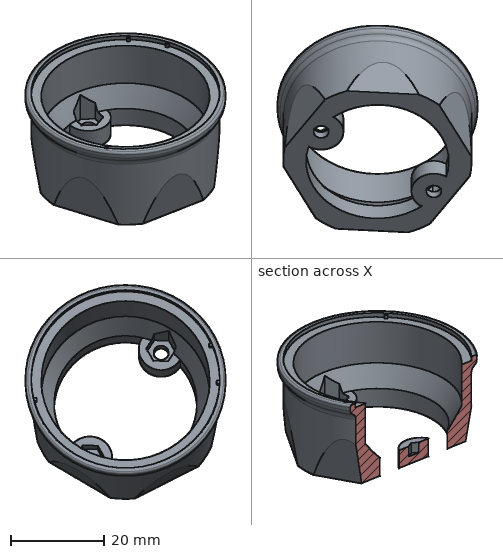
import cadquery as cq
import math

height = 20.32
body_radius = 40.4 / 2
rim_radius = 43.0 / 2

rim_edge_fillet = 0.5
rim_band_depth = 1.33
flare_inflexion_depth = 2.5
flare_end_depth = 4.0

recess_radius = 40.4 / 2
recess_depth = 1.0
bore_radius = 36.1 / 2
opening_radius = 15.3
opening_height = 4.5
seat_slope = 60.0

boss_offset = 14.5
boss_radius = 4.8
screw_diameter = 3.2
nut_across_flats = 5.5
nut_floor_height = 2.0

pin_radius = 0.4
pin_height = 0.8
pin_circle_radius = 19.9
pin_angles = (120.0, 145.0, -45.0)

flat_count = 6
flat_inset = 1.55
flat_tilt = 8.0
short_flat_tilt = 10.0
short_flat_index = 4

recess_floor = height - recess_depth
seat_height = (bore_radius - opening_radius) * math.tan(math.radians(seat_slope))
seat_top = opening_height + seat_height


def make_shell_blank():
    """Solid of revolution with a filleted rim that flares out of the body in an S-curve."""
    flare_fraction = (flare_inflexion_depth - rim_band_depth) / (flare_end_depth - rim_band_depth)
    inflexion_radius = rim_radius - (rim_radius - body_radius) * flare_fraction
    fillet_start = (rim_radius - rim_edge_fillet, height)
    fillet_end = (rim_radius, height - rim_edge_fillet)
    profile = (
        cq.Workplane("XZ")
        .lineTo(body_radius, 0)
        .lineTo(body_radius, height - flare_end_depth)
        .tangentArcPoint((inflexion_radius, height - flare_inflexion_depth), relative=False)
        .tangentArcPoint((rim_radius, height - rim_band_depth), relative=False)
        .lineTo(*fillet_end)
        .tangentArcPoint(fillet_start, relative=False)
        .lineTo(0, height)
        .close()
    )
    return profile.revolve(360, (0, 0, 0), (0, 1, 0))


def make_cavity():
    """Opening, conical seat, main bore and top recess as one revolved cutter."""
    profile = cq.Workplane("XZ").polyline([
        (0, 0),
        (opening_radius, 0),
        (opening_radius, opening_height),
        (bore_radius, seat_top),
        (bore_radius, recess_floor),
        (recess_radius, recess_floor),
        (recess_radius, height),
        (0, height),
    ]).close()
    return profile.revolve(360, (0, 0, 0), (0, 1, 0))


def make_flat_cutter(tilt, angle):
    """Wedge outside a tilted plane, removing one grip flat at the given angle."""
    bottom_distance = body_radius - flat_inset
    apex_height = flat_inset / math.tan(math.radians(tilt))
    wedge = (
        cq.Workplane("XZ")
        .polyline([(bottom_distance, 0), (body_radius, 0), (body_radius, apex_height)])
        .close()
        .extrude(body_radius, both=True)
    )
    return wedge.rotate((0, 0, 0), (0, 0, 1), angle)


def cut_grip_flats(body):
    for index in range(flat_count):
        tilt = short_flat_tilt if index == short_flat_index else flat_tilt
        body = body.cut(make_flat_cutter(tilt, index * 360 / flat_count))
    return body


def add_bosses(body):
    """Two bosses on the X axis, each with a nut pocket open upward into the conical seat."""
    centers = [(-boss_offset, 0), (boss_offset, 0)]
    nut_across_corners = nut_across_flats / math.cos(math.pi / 6)
    bosses = cq.Workplane("XY").pushPoints(centers).circle(boss_radius).extrude(opening_height)
    pockets = (
        cq.Workplane("XY", origin=(0, 0, nut_floor_height))
        .pushPoints(centers)
        .polygon(6, nut_across_corners)
        .extrude(seat_top - nut_floor_height)
    )
    screw_holes = cq.Workplane("XY").pushPoints(centers).circle(screw_diameter / 2).extrude(seat_top)
    return body.union(bosses).cut(pockets).cut(screw_holes)


def add_pins(body):
    """Pins that overlap the recess wall slightly."""
    for angle in pin_angles:
        pin = (
            cq.Workplane("XY", origin=(0, 0, recess_floor))
            .center(
                pin_circle_radius * math.cos(math.radians(angle)),
                pin_circle_radius * math.sin(math.radians(angle)),
            )
            .circle(pin_radius)
            .extrude(pin_height)
        )
        body = body.union(pin)
    return body


shell = make_shell_blank().cut(make_cavity())
shell = add_bosses(shell)
shell = cut_grip_flats(shell)
result = add_pins(shell)